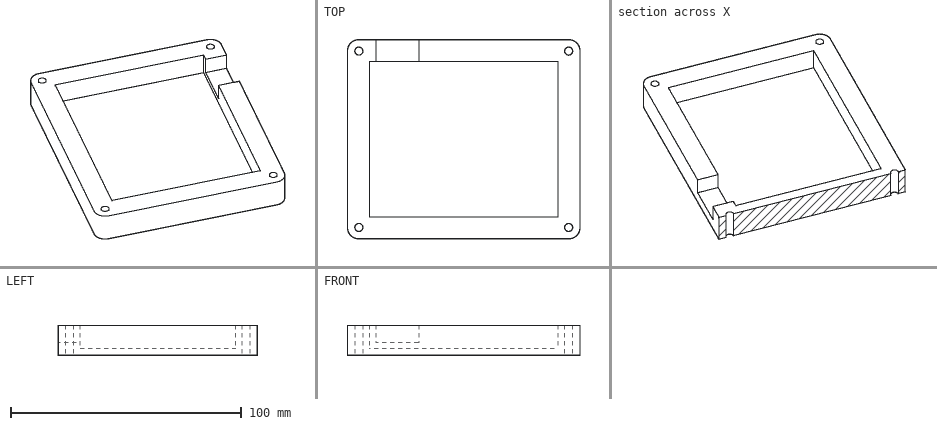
import cadquery as cq

length = 100.96
width = 86.48
height = 13.0
corner_radius = 5.0

screw_diameter = 3.4
screw_spacing_x = length - 2 * corner_radius
screw_spacing_y = width - 2 * corner_radius

wall = 9.5
floor = 3.0
pocket_length = length - 2 * wall
pocket_width = width - 2 * wall

notch_width = 18.5
notch_depth = 7.5
notch_start = 12.5


def make_block():
    block = cq.Workplane("XY").box(length, width, height, centered=(True, True, False))
    return block.edges("|Z").fillet(corner_radius)


def make_pocket():
    pocket = cq.Workplane("XY").workplane(offset=floor)
    return pocket.rect(pocket_length, pocket_width).extrude(height - floor)


def make_notch():
    notch = cq.Workplane("XY").box(notch_width, wall, notch_depth, centered=False)
    return notch.translate((notch_start - length / 2, width / 2 - wall, height - notch_depth))


def make_screw_holes():
    holes = cq.Workplane("XY").rect(screw_spacing_x, screw_spacing_y, forConstruction=True)
    return holes.vertices().circle(screw_diameter / 2).extrude(height)


result = make_block().cut(make_pocket()).cut(make_notch()).cut(make_screw_holes())